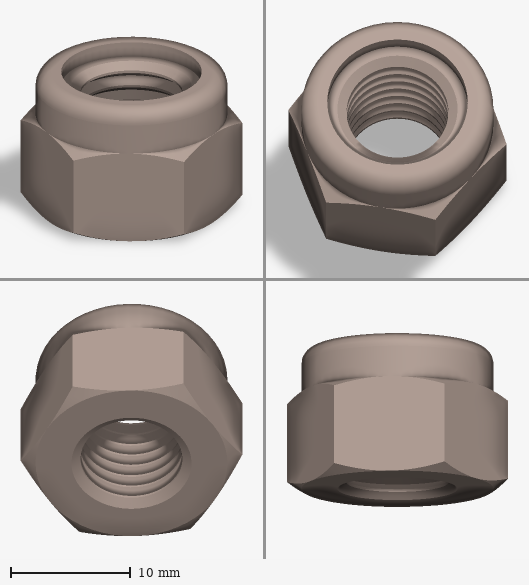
import cadquery as cq
import math

corner_diameter = 18.48
flat_radius = corner_diameter / 2 * math.cos(math.radians(30))
hex_height = 8.04
corner_chamfer_angle = 30.0

total_height = 11.9
collar_radius = flat_radius
collar_fillet = 1.3
recess_radius = 5.85
recess_depth = 1.3

minor_radius = 4.25
major_radius = 5.0
crest_height = 0.22
crest_count = 8

floor_z = total_height - recess_depth
pitch = floor_z / crest_count
flank_height = (pitch - crest_height) / 2


def revolve_about_z(profile):
    """Turn a closed (radius, height) profile once around the Z axis."""
    return profile.close().revolve(360, (0, 0, 0), (0, 1, 0))


def make_hex_body():
    """Hexagon with corners on the Y axis, chamfered at both ends by a cone."""
    prism = (
        cq.Workplane("XY")
        .polygon(6, corner_diameter)
        .extrude(hex_height)
        .rotate((0, 0, 0), (0, 0, 1), 30)
    )
    outer_radius = corner_diameter / 2 + 0.18
    cone_height = (outer_radius - flat_radius) * math.tan(math.radians(corner_chamfer_angle))
    envelope = revolve_about_z(
        cq.Workplane("XZ")
        .lineTo(flat_radius, 0)
        .lineTo(outer_radius, cone_height)
        .lineTo(outer_radius, hex_height - cone_height)
        .lineTo(flat_radius, hex_height)
        .lineTo(0, hex_height)
    )
    return prism.intersect(envelope)


def make_collar():
    """Cylinder above the hexagon with a rounded top edge."""
    return (
        cq.Workplane("XY")
        .workplane(offset=hex_height)
        .circle(collar_radius)
        .extrude(total_height - hex_height)
        .faces(">Z")
        .edges()
        .fillet(collar_fillet)
    )


def make_bore():
    """Through bore with end chamfers, thread rings and the insert recess."""
    profile = cq.Workplane("XZ").lineTo(major_radius, 0)
    for index in range(crest_count):
        crest_bottom = index * pitch + flank_height
        profile = (
            profile.lineTo(minor_radius, crest_bottom)
            .lineTo(minor_radius, crest_bottom + crest_height)
            .lineTo(major_radius, (index + 1) * pitch)
        )
    profile = (
        profile
        .lineTo(recess_radius, floor_z)
        .lineTo(recess_radius, total_height)
        .lineTo(0, total_height)
    )
    return revolve_about_z(profile)


result = make_hex_body().union(make_collar()).cut(make_bore())